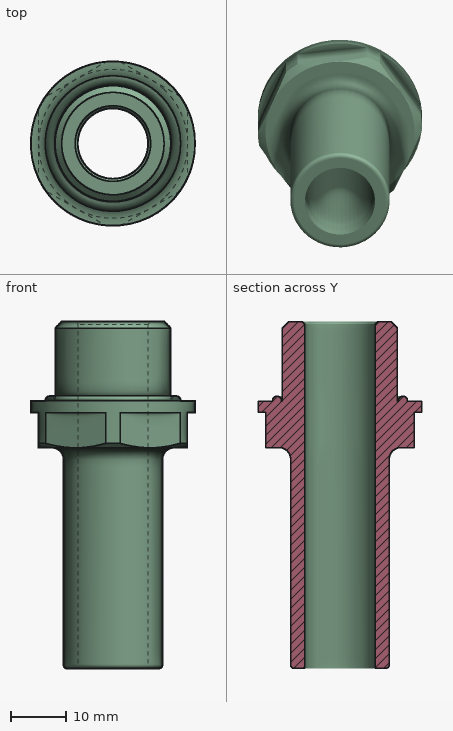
import cadquery as cq
import math

total_height = 62.9
bore_diameter = 12.7
bore_chamfer = 0.5

tube_diameter = 18.0
tube_end_radius = 0.75
neck_radius = 2.0

collar_diameter = 29.8
collar_bottom = 40.0
collar_top = 48.5
flange_thickness = 2.1
hex_sides = 6
hex_across_flats = 27.0
hex_chamfer_angle = 30.0

spigot_diameter = 20.95
spigot_chamfer = 1.2

ring_outer_diameter = 24.55
ring_inner_diameter = 21.15
ring_projection = 0.9


def cylinder(diameter, bottom, top):
    return cq.Workplane("XY").workplane(offset=bottom).circle(diameter / 2).extrude(top - bottom)


def make_tube():
    """Tube stub with a rounded free end."""
    return cylinder(tube_diameter, 0, collar_top).faces("<Z").edges().fillet(tube_end_radius)


def make_neck():
    """Concave fillet between the tube and the underside of the hexagon."""
    tube_r = tube_diameter / 2
    outer_r = tube_r + neck_radius
    neck_bottom = collar_bottom - neck_radius
    arc_offset = neck_radius * math.sqrt(0.5)
    profile = (
        cq.Workplane("XZ")
        .moveTo(bore_diameter / 2, neck_bottom)
        .lineTo(tube_r, neck_bottom)
        .threePointArc((outer_r - arc_offset, neck_bottom + arc_offset), (outer_r, collar_bottom))
        .lineTo(bore_diameter / 2, collar_bottom)
        .close()
    )
    return profile.revolve(360, (0, 0, 0), (0, 1, 0))


def make_collar():
    """Round collar with six flats below the flange and a chamfered lower rim."""
    rim_width = (collar_diameter - hex_across_flats) / 2
    rim_height = rim_width * math.tan(math.radians(hex_chamfer_angle))
    collar = cylinder(collar_diameter, collar_bottom, collar_top)
    collar = collar.faces("<Z").chamfer(rim_height, rim_width)

    hex_height = collar_top - flange_thickness - collar_bottom
    flat_cutter = (
        cq.Workplane("XY")
        .workplane(offset=collar_bottom)
        .center(hex_across_flats / 2 + collar_diameter / 2, 0)
        .rect(collar_diameter, collar_diameter)
        .extrude(hex_height)
    )
    for side in range(hex_sides):
        collar = collar.cut(flat_cutter.rotate((0, 0, 0), (0, 0, 1), side * 360 / hex_sides))
    return collar


def make_spigot():
    """Upper spigot with a chamfered end."""
    return cylinder(spigot_diameter, collar_top, total_height).faces(">Z").chamfer(spigot_chamfer)


def make_ring():
    """Round-section sealing ring, partly sunk into the flange face."""
    section_diameter = (ring_outer_diameter - ring_inner_diameter) / 2
    centre_radius = (ring_outer_diameter + ring_inner_diameter) / 4
    centre_height = collar_top + ring_projection - section_diameter / 2
    return (
        cq.Workplane("XZ")
        .center(centre_radius, centre_height)
        .circle(section_diameter / 2)
        .revolve(360, (-centre_radius, 0, 0), (-centre_radius, 1, 0))
    )


def make_bore():
    """Through bore with a chamfered mouth at the top."""
    mouth = (
        cq.Workplane("XY")
        .workplane(offset=total_height)
        .circle(bore_diameter / 2 + bore_chamfer)
        .workplane(offset=-bore_chamfer)
        .circle(bore_diameter / 2)
        .loft()
    )
    return cylinder(bore_diameter, 0, total_height).union(mouth)


body = make_tube().union(make_neck()).union(make_collar()).union(make_spigot())
result = body.union(make_ring()).cut(make_bore())